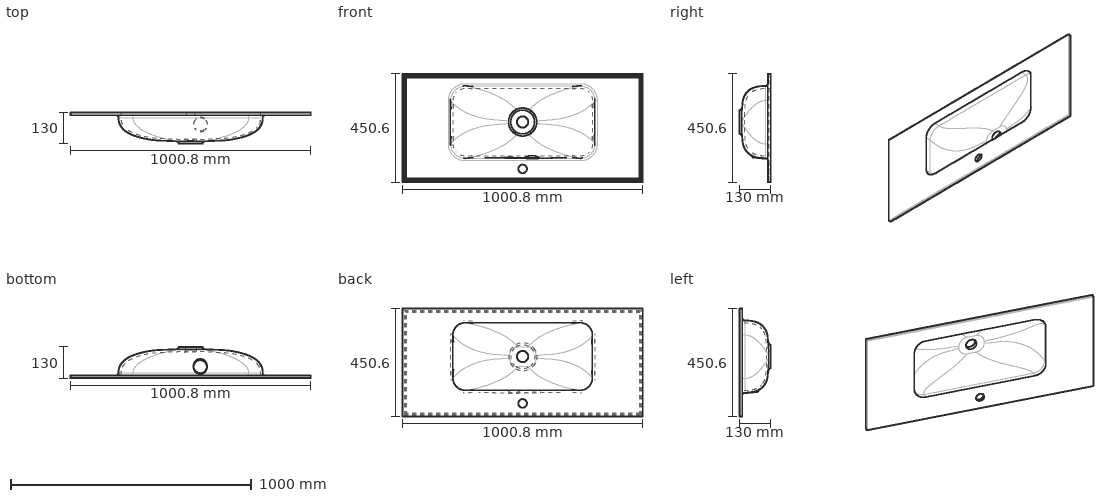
import cadquery as cq
import math

SLAB_LENGTH = 1000.84
SLAB_HEIGHT = 450.63
SLAB_THICKNESS = 12.0
SLAB_CORNER_RADIUS = 4.0
SLAB_TOP_ROUND = 2.5

GROOVE_MARGIN = 8.0
GROOVE_WIDTH = 8.0
GROOVE_SLOPE_WIDTH = GROOVE_WIDTH / 3
GROOVE_DEPTH = 3.0

BOWL_CENTER_Z = 25.0
BOWL_HALF_LENGTH = 300.0
BOWL_HALF_HEIGHT = 150.0
BOWL_CORNER_RADIUS = 60.0
BOWL_FOOT_FILLET = 10.0
FLOOR_DEPTH = 121.0
WALL_THICKNESS = 10.0
RIM_DEPTH = SLAB_THICKNESS + BOWL_FOOT_FILLET

LENGTH_EXPONENTS = (3.0, 2.35)
HEIGHT_EXPONENTS = (4.0, 2.55)
SECTION_COUNT = 7
FLOOR_STEP = 0.997
FLOOR_ROUNDNESS = 0.9
SECTION_SLICE = 1.0

TOTAL_DEPTH = 130.0
DRAIN_BOSS_RADIUS = 49.5
DRAIN_BOSS_FILLET = TOTAL_DEPTH - FLOOR_DEPTH
DRAIN_HOLE_RADIUS = 23.0

TAP_HOLE_RADIUS = 17.5
TAP_HOLE_Z = -170.0

OVERFLOW_X = 40.0
OVERFLOW_DEPTH = 48.0
OVERFLOW_CAP_Z = -125.5
OVERFLOW_TILT = 6.0
OVERFLOW_CAP_RADIUS = 27.0
OVERFLOW_FOOT_RADIUS = 33.0
OVERFLOW_HEIGHT = 7.0


def plane_at(depth, center_z=0.0):
    """Workplane parallel to the slab, at a depth below its top face and facing -Y."""
    return cq.Workplane("XZ", origin=(0, -depth, center_z))


def rounded_block(depth, half_length, half_height, radius, thickness):
    """Rounded rectangular block on the bowl axis, growing downwards from a depth."""
    block = plane_at(depth, BOWL_CENTER_Z).rect(2 * half_length, 2 * half_height).extrude(thickness)
    return block.edges("|Y").fillet(radius)


def shrink(step, exponents):
    """Share of a half width that is left at a share of the dome's depth."""
    across, down = exponents
    return (1 - step**down) ** (1 / across)


def dome_section(step, half_length, half_height, corner_radius, depth):
    """Rounded rectangle that gets smaller and rounder towards the floor."""
    section_length = half_length * shrink(step, LENGTH_EXPONENTS)
    section_height = half_height * shrink(step, HEIGHT_EXPONENTS)
    rim_roundness = corner_radius / half_height
    roundness = rim_roundness + (FLOOR_ROUNDNESS - rim_roundness) * step**2
    section_radius = roundness * section_height
    block = rounded_block(depth, section_length, section_height, section_radius, SECTION_SLICE)
    return block.faces(">Y").wires().val()


def bowl(offset):
    """Straight rim with a dome below it, all faces moved inwards by the offset."""
    half_length = BOWL_HALF_LENGTH - offset
    half_height = BOWL_HALF_HEIGHT - offset
    corner_radius = BOWL_CORNER_RADIUS - offset
    dome_height = FLOOR_DEPTH - offset - RIM_DEPTH
    sections = []
    for index in range(SECTION_COUNT):
        progress = math.sin(math.pi / 2 * index / (SECTION_COUNT - 1))
        depth = RIM_DEPTH + dome_height * progress
        section = dome_section(FLOOR_STEP * progress, half_length, half_height, corner_radius, depth)
        sections.append(section)
    dome = cq.Workplane(cq.Solid.makeLoft(sections))
    return rounded_block(0, half_length, half_height, corner_radius, RIM_DEPTH).union(dome)


def slab():
    """Slab with rounded corners and a rounded top edge."""
    plate = plane_at(0).rect(SLAB_LENGTH, SLAB_HEIGHT).extrude(SLAB_THICKNESS)
    plate = plate.edges("|Y").fillet(SLAB_CORNER_RADIUS)
    return plate.faces(">Y").edges().fillet(SLAB_TOP_ROUND)


def groove():
    """Ring of trapezoidal section to cut from the underside."""

    def frustum(margin_at_face, margin_at_floor):
        return (
            plane_at(SLAB_THICKNESS)
            .rect(SLAB_LENGTH - 2 * margin_at_face, SLAB_HEIGHT - 2 * margin_at_face)
            .workplane(offset=-GROOVE_DEPTH)
            .rect(SLAB_LENGTH - 2 * margin_at_floor, SLAB_HEIGHT - 2 * margin_at_floor)
            .loft(ruled=True)
        )

    inner_margin = GROOVE_MARGIN + GROOVE_WIDTH
    outside = frustum(GROOVE_MARGIN, GROOVE_MARGIN + GROOVE_SLOPE_WIDTH)
    inside = frustum(inner_margin, inner_margin - GROOVE_SLOPE_WIDTH)
    return outside.cut(inside)


def drain_boss():
    """Round boss below the floor with a concave fillet at its foot."""
    foot_radius = DRAIN_BOSS_RADIUS + DRAIN_BOSS_FILLET
    arc_inset = DRAIN_BOSS_FILLET * (1 - math.sqrt(0.5))
    top = -(FLOOR_DEPTH - WALL_THICKNESS / 2)
    return (
        cq.Workplane("XY")
        .moveTo(0, top)
        .lineTo(foot_radius, top)
        .lineTo(foot_radius, -FLOOR_DEPTH)
        .threePointArc(
            (DRAIN_BOSS_RADIUS + arc_inset, -FLOOR_DEPTH - arc_inset),
            (DRAIN_BOSS_RADIUS, -TOTAL_DEPTH),
        )
        .lineTo(0, -TOTAL_DEPTH)
        .close()
        .revolve(360, (0, 0, 0), (0, 1, 0))
        .translate((0, 0, BOWL_CENTER_Z))
    )


def hole(center_z, radius, depth):
    """Cutter for a round hole on X = 0, running down from the top face."""
    return plane_at(0, center_z).circle(radius).extrude(depth)


def overflow_boss():
    """Truncated cone whose wide foot is sunk in the lower bowl wall."""
    cone = (
        cq.Workplane("XY")
        .circle(OVERFLOW_CAP_RADIUS)
        .workplane(offset=OVERFLOW_HEIGHT)
        .circle(OVERFLOW_FOOT_RADIUS)
        .loft()
    )
    cone = cone.rotate((0, 0, 0), (1, 0, 0), -OVERFLOW_TILT)
    return cone.translate((OVERFLOW_X, -OVERFLOW_DEPTH, OVERFLOW_CAP_Z))


def foot_edges():
    """Selector for the loop where the bowl meets the underside of the slab."""
    margin = BOWL_FOOT_FILLET / 2
    reach_x = BOWL_HALF_LENGTH + margin
    reach_z = BOWL_HALF_HEIGHT + margin
    return cq.selectors.BoxSelector(
        (-reach_x, -SLAB_THICKNESS - margin, BOWL_CENTER_Z - reach_z),
        (reach_x, -SLAB_THICKNESS + margin, BOWL_CENTER_Z + reach_z),
    )


shell = slab().union(bowl(0)).edges(foot_edges()).fillet(BOWL_FOOT_FILLET)
shell = shell.union(drain_boss()).union(overflow_boss())
shell = shell.cut(bowl(WALL_THICKNESS), clean=False)
shell = shell.cut(groove(), clean=False)
shell = shell.cut(hole(BOWL_CENTER_Z, DRAIN_HOLE_RADIUS, TOTAL_DEPTH), clean=False)
shell = shell.cut(hole(TAP_HOLE_Z, TAP_HOLE_RADIUS, SLAB_THICKNESS), clean=False)
result = cq.Workplane(shell.solids().val())